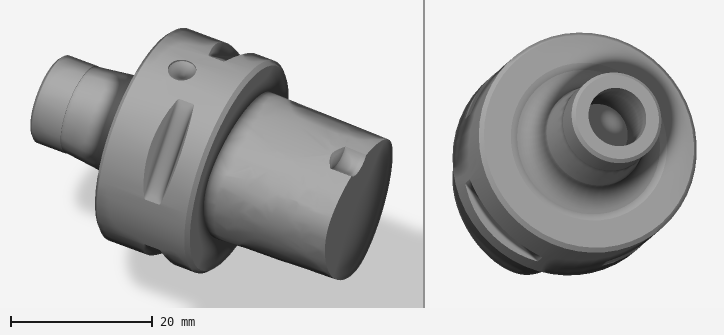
import cadquery as cq
import math

overall_length = 49.0

nose_diameter = 13.2
nose_chamfer = 0.5
nose_length = 5.05
taper_start_diameter = 13.0
neck_diameter = 14.5
taper_end = 11.25
neck_land = 0.75
bore_diameter = 8.5
bore_depth = 9.8

flange_diameter = 32.0
flange_start = 15.0
flange_end = 30.05
flange_chamfer = 0.6
root_radius = 3.25
recess_diameter = 22.95

shank_root_diameter = 22.1
shank_taper = 1 / 20
shank_length = overall_length - flange_end
shank_end_diameter = shank_root_diameter - shank_taper * shank_length
lobe_offset = 0.7
lobe_points = 48

slot_count = 4
slot_start_angle = 45.0
slot_centre = 24.0
slot_floor_radius = 14.1
slot_clearance = 0.5
slot_floor_width = 2.5
slot_wall_angle = 30.0
slot_corner_radius = 0.35

dimple_diameter = 4.0
dimple_centre = 20.95
dimple_point_angle = 120.0
dimple_wall = 0.25

keyway_radius = 2.95
keyway_depth = 1.3
keyway_start = 45.65
keyway_point_angle = 110.0


def turned_body():
    """Nose, neck and flange, with the neck root running into a shallow face recess."""
    nose_radius = nose_diameter / 2
    neck_radius = neck_diameter / 2
    flange_radius = flange_diameter / 2
    root_start = taper_end + neck_land
    root_bottom = root_start + root_radius
    arc_leg = root_radius * math.sin(math.radians(45))
    root_middle = (root_start + arc_leg, neck_radius + root_radius - arc_leg)
    return (
        cq.Workplane("XY")
        .moveTo(0, 0)
        .lineTo(0, nose_radius - nose_chamfer)
        .lineTo(nose_chamfer, nose_radius)
        .lineTo(nose_length, nose_radius)
        .lineTo(nose_length, taper_start_diameter / 2)
        .lineTo(taper_end, neck_radius)
        .lineTo(root_start, neck_radius)
        .threePointArc(root_middle, (root_bottom, neck_radius + root_radius))
        .lineTo(flange_start, recess_diameter / 2)
        .lineTo(flange_start, flange_radius - flange_chamfer)
        .lineTo(flange_start + flange_chamfer, flange_radius)
        .lineTo(flange_end - flange_chamfer, flange_radius)
        .lineTo(flange_end, flange_radius - flange_chamfer)
        .lineTo(flange_end, 0)
        .close()
        .revolve(360, (0, 0, 0), (1, 0, 0))
    )


def lobed_section(diameter):
    """Points (Y, Z) of a constant-width, three-lobed outline with a flat side at +Z."""
    points = []
    for index in range(lobe_points):
        angle = 2 * math.pi * index / lobe_points
        z = (
            diameter / 2 * math.cos(angle)
            - 2 * lobe_offset * math.cos(2 * angle)
            + lobe_offset * math.cos(4 * angle)
        )
        y = (
            diameter / 2 * math.sin(angle)
            + 2 * lobe_offset * math.sin(2 * angle)
            + lobe_offset * math.sin(4 * angle)
        )
        points.append((y, z))
    return points


def shank():
    return (
        cq.Workplane("YZ", origin=(flange_end, 0, 0))
        .spline(lobed_section(shank_root_diameter), periodic=True)
        .close()
        .workplane(offset=shank_length)
        .spline(lobed_section(shank_end_diameter), periodic=True)
        .close()
        .loft(ruled=True, combine=True)
    )


def bore():
    return cq.Workplane("YZ").circle(bore_diameter / 2).extrude(bore_depth)


def gripper_slot():
    """Flared slot running along Y at the +Z side of the flange, open at both ends."""
    top = flange_diameter / 2 + slot_clearance
    flare = (top - slot_floor_radius) * math.tan(math.radians(slot_wall_angle))
    half_floor = slot_floor_width / 2
    return (
        cq.Workplane("XZ")
        .polyline([
            (slot_centre - half_floor, slot_floor_radius),
            (slot_centre + half_floor, slot_floor_radius),
            (slot_centre + half_floor + flare, top),
            (slot_centre - half_floor - flare, top),
        ])
        .close()
        .extrude(flange_diameter / 2, both=True)
        .edges("|Y and <Z")
        .fillet(slot_corner_radius)
    )


def dimple():
    """Shallow drilled dimple on the crest of the flange at +Z."""
    radius = dimple_diameter / 2
    top = flange_diameter / 2
    rim = math.sqrt(top**2 - radius**2) - dimple_wall
    tip = rim - radius / math.tan(math.radians(dimple_point_angle / 2))
    return (
        cq.Workplane("XZ", origin=(dimple_centre, 0, 0))
        .polyline([(0, tip), (radius, rim), (radius, top), (0, top)])
        .close()
        .revolve(360, (0, 0, 0), (0, 1, 0))
    )


def keyway():
    flat_side_radius = shank_end_diameter / 2 - lobe_offset
    axis_height = flat_side_radius - keyway_depth + keyway_radius
    point_length = keyway_radius / math.tan(math.radians(keyway_point_angle / 2))
    return (
        cq.Workplane("XZ", origin=(0, 0, axis_height))
        .polyline([
            (keyway_start - point_length, 0),
            (keyway_start, keyway_radius),
            (overall_length, keyway_radius),
            (overall_length, 0),
        ])
        .close()
        .revolve(360, (0, 0, 0), (1, 0, 0))
    )


result = turned_body().union(shank()).cut(bore()).cut(dimple()).cut(keyway())
for index in range(slot_count):
    slot_angle = slot_start_angle + index * 360 / slot_count
    result = result.cut(gripper_slot().rotate((0, 0, 0), (1, 0, 0), slot_angle))